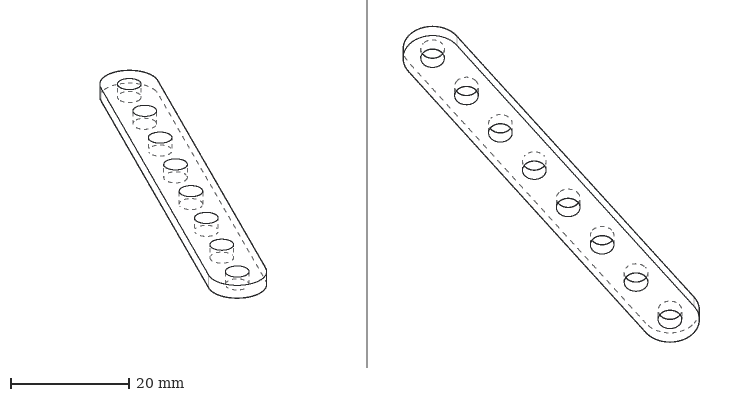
import cadquery as cq

length = 80.0
hole_count = 8
thickness = 2.5
hole_diameter = 4.0

width = length / hole_count
hole_pitch = width

bar = cq.Workplane("XY").slot2D(length, width).extrude(thickness)

result = (
    bar.faces(">Z")
    .workplane(origin=(0, 0, thickness))
    .rarray(hole_pitch, width, hole_count, 1)
    .hole(hole_diameter)
)